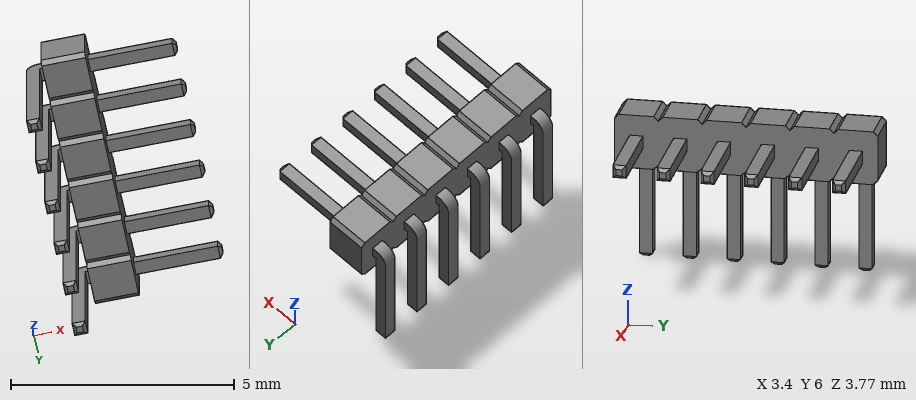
import cadquery as cq

pin_count = 6
strip_length = 6.0
pitch = strip_length / pin_count

strip_depth = pitch
strip_height = 1.26
notch_size = 0.1

pin_width = 0.3
bend_radius = pin_width
bend_overhang = 0.4
tip_reach = 2 * pitch
pin_top = (strip_height + pin_width) / 2
overall_height = 3.77
tip_chamfer = 0.08

leg_bottom = strip_height - overall_height
tip_x = strip_depth + tip_reach
row_start = -(strip_length - pitch) / 2
pin_positions = [row_start + i * pitch for i in range(pin_count)]


def strip_segment(y):
    """One pitch of the strip, with its long edges chamfered to form the notches."""
    block = cq.Workplane("XY").box(strip_depth, pitch, strip_height, centered=(False, True, False))
    return block.edges("|X").chamfer(notch_size).translate((0, y, 0))


def bent_pin(y):
    """An L-shaped square pin: leg down, rounded bend, arm through the strip."""
    leg_outer = -bend_overhang
    leg_inner = leg_outer + pin_width
    arm_bottom = pin_top - pin_width
    pin = (
        cq.Workplane("XZ")
        .moveTo(leg_outer, leg_bottom)
        .lineTo(leg_outer, pin_top - bend_radius)
        .radiusArc((leg_outer + bend_radius, pin_top), bend_radius)
        .lineTo(tip_x, pin_top)
        .lineTo(tip_x, arm_bottom)
        .lineTo(leg_inner, arm_bottom)
        .lineTo(leg_inner, leg_bottom)
        .close()
        .extrude(pin_width / 2, both=True)
    )
    pin = pin.faces(">X").chamfer(tip_chamfer)
    pin = pin.faces("<Z").chamfer(tip_chamfer)
    return pin.translate((0, y, 0))


result = strip_segment(pin_positions[0])
for y in pin_positions[1:]:
    result = result.union(strip_segment(y))
for y in pin_positions:
    result = result.union(bent_pin(y))